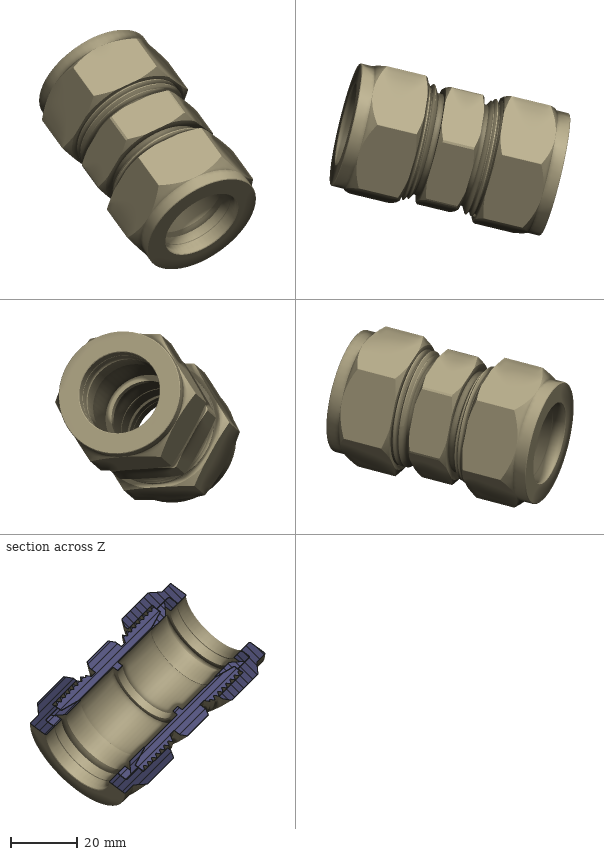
import cadquery as cq
import math

overall_length = 65.0
half_length = overall_length / 2

tube_bore_radius = 12.55
body_bore_radius = 12.75
through_radius = 10.9
stop_half_thickness = 1.2

body_hex_flats = 35.0
body_hex_corner_radius = 20.0
body_hex_half_width = 6.05
body_hex_face_radius = 18.0
hex_chamfer_angle = 30.0

neck_radius = 15.7
neck_end = 7.8
crest_radius = 18.05
pitch = 1.88
thread_depth = 0.65 * pitch
crest_flat = pitch / 8
flank_angle = 30.0
top_crest_x = 9.64
thread_chamfer_angle = 30.0
lead_turns = 1.5
segment_turns = 1.5
groove_overshoot = 0.1

nut_flats = 38.0
nut_corner_radius = 21.9
nut_inner_end = 11.85
nut_face_radius = 19.4
collar_radius = 18.97
collar_length = 4.0
end_chamfer = 0.2

ferrule_radius = 16.0
back_ferrule_rear = 28.4
back_ferrule_nose = 25.1
back_ferrule_chamfer = 0.3
front_ferrule_rear = 26.1
front_recess_end = 23.0
body_end = 23.0
seat_mouth_radius = 14.6
front_ferrule_nose = 16.3

recess_mouth_radius = tube_bore_radius + front_ferrule_rear - front_recess_end
back_nose_radius = tube_bore_radius + back_ferrule_nose - front_recess_end


def revolve_about_x(points):
    """Solid of revolution from (x, radius) points."""
    return cq.Workplane("XY").polyline(points).close().revolve(360, (0, 0, 0), (1, 0, 0))


def hex_bar(flats, start, end):
    """Hexagonal bar along X with flats on top and bottom and corners along Y."""
    corner_diameter = flats / math.cos(math.pi / 6)
    return cq.Workplane("YZ").workplane(offset=start).polygon(6, corner_diameter).extrude(end - start)


def on_both_sides(right_side):
    """The +X side piece and its copy turned half a turn about Z."""
    return [right_side, right_side.rotate((0, 0, 0), (0, 0, 1), 180)]


def make_groove_segments():
    """Right-handed thread groove on the +X side, in lengths that follow one another past the body end.

    The first length starts at the top of the fitting, inside the neck's air space.
    """
    slope = math.tan(math.radians(flank_angle))
    crest_half_width = (pitch - crest_flat) / 2
    root_half_width = crest_half_width - thread_depth * slope
    mouth_half_width = crest_half_width + groove_overshoot * slope
    root_radius = crest_radius - thread_depth
    mouth_radius = crest_radius + groove_overshoot
    start = top_crest_x - lead_turns * pitch
    segment_length = segment_turns * pitch
    segment_count = math.ceil((body_end + pitch - start) / segment_length)

    path = cq.Workplane(cq.Wire.makeHelix(pitch, segment_length, root_radius))
    segment = (
        cq.Workplane("XZ")
        .polyline([
            (root_radius, -root_half_width),
            (mouth_radius, -mouth_half_width),
            (mouth_radius, mouth_half_width),
            (root_radius, root_half_width),
        ])
        .close()
        .sweep(path, isFrenet=True)
        .rotate((0, 0, 0), (0, 0, 1), 180)
        .rotate((0, 0, 0), (0, 1, 0), 90)
    )
    return [
        segment.rotate((0, 0, 0), (1, 0, 0), 360 * segment_turns * index)
        .translate((start + index * segment_length, 0, 0))
        for index in range(segment_count)
    ]


def make_body_hex():
    """Central hexagon with its corners turned down and both faces chamfered."""
    chamfer_depth = body_hex_corner_radius - body_hex_face_radius
    chamfer_length = chamfer_depth * math.tan(math.radians(hex_chamfer_angle))
    full_end = body_hex_half_width - chamfer_length
    turned = revolve_about_x([
        (-body_hex_half_width, 0),
        (-body_hex_half_width, body_hex_face_radius),
        (-full_end, body_hex_corner_radius),
        (full_end, body_hex_corner_radius),
        (body_hex_half_width, body_hex_face_radius),
        (body_hex_half_width, 0),
    ])
    return hex_bar(body_hex_flats, -body_hex_half_width, body_hex_half_width).intersect(turned)


def make_body():
    """Central hexagon joined to two threaded barrels, each with a tube socket and a conical seat."""
    chamfer_length = (crest_radius - neck_radius) * math.tan(math.radians(thread_chamfer_angle))
    half_barrel = revolve_about_x([
        (0, through_radius),
        (0, neck_radius),
        (neck_end, neck_radius),
        (neck_end + chamfer_length, crest_radius),
        (body_end, crest_radius),
        (body_end, seat_mouth_radius),
        (front_ferrule_nose, body_bore_radius),
        (stop_half_thickness, body_bore_radius),
        (stop_half_thickness, through_radius),
    ])
    for groove in make_groove_segments():
        half_barrel = half_barrel.cut(groove)
    right, left = on_both_sides(half_barrel)
    bore = cq.Workplane("YZ").circle(through_radius).extrude(half_length, both=True)
    socket = cq.Workplane("YZ").circle(body_bore_radius).extrude(half_length)
    hex_ring = make_body_hex().cut(bore)
    for tube_socket in on_both_sides(socket.translate((stop_half_thickness, 0, 0))):
        hex_ring = hex_ring.cut(tube_socket)
    return hex_ring.union(right).union(left)


def make_nut():
    """Nut on the +X side."""
    collar_start = half_length - collar_length
    inner_chamfer = (nut_corner_radius - nut_face_radius) * math.tan(math.radians(hex_chamfer_angle))
    outer_chamfer = nut_corner_radius - collar_radius
    turned = revolve_about_x([
        (nut_inner_end, 0),
        (nut_inner_end, nut_face_radius),
        (nut_inner_end + inner_chamfer, nut_corner_radius),
        (collar_start - outer_chamfer, nut_corner_radius),
        (collar_start, collar_radius),
        (collar_start, 0),
    ])
    collar = revolve_about_x([
        (collar_start, 0),
        (collar_start, collar_radius),
        (half_length - end_chamfer, collar_radius),
        (half_length, collar_radius - end_chamfer),
        (half_length, 0),
    ])
    cavity = revolve_about_x([
        (nut_inner_end, 0),
        (nut_inner_end, crest_radius),
        (body_end, crest_radius),
        (body_end, ferrule_radius),
        (back_ferrule_rear, ferrule_radius),
        (back_ferrule_rear, tube_bore_radius),
        (half_length - end_chamfer, tube_bore_radius),
        (half_length, tube_bore_radius + end_chamfer),
        (half_length, 0),
    ])
    return hex_bar(nut_flats, nut_inner_end, collar_start).intersect(turned).union(collar).cut(cavity)


def make_front_ferrule():
    """Front ferrule on the +X side: a flange and a cone seated in the mouth of the body."""
    return revolve_about_x([
        (front_ferrule_nose, tube_bore_radius),
        (front_ferrule_nose, body_bore_radius),
        (body_end, seat_mouth_radius),
        (body_end, ferrule_radius),
        (front_ferrule_rear, ferrule_radius),
        (front_ferrule_rear, recess_mouth_radius),
        (front_recess_end, tube_bore_radius),
    ])


def make_back_ferrule():
    """Back ferrule on the +X side: a flange with a nose in the recess of the front ferrule."""
    return revolve_about_x([
        (back_ferrule_nose, tube_bore_radius),
        (back_ferrule_nose, back_nose_radius),
        (front_ferrule_rear, recess_mouth_radius),
        (front_ferrule_rear, ferrule_radius),
        (back_ferrule_rear, ferrule_radius),
        (back_ferrule_rear, tube_bore_radius + back_ferrule_chamfer),
        (back_ferrule_rear - back_ferrule_chamfer, tube_bore_radius),
    ])


body = make_body()
nuts = on_both_sides(make_nut())
front_ferrules = on_both_sides(make_front_ferrule())
back_ferrules = on_both_sides(make_back_ferrule())

result = cq.Compound.makeCompound([
    body.val(),
    *[nut.val() for nut in nuts],
    *[ferrule.val() for ferrule in front_ferrules],
    *[ferrule.val() for ferrule in back_ferrules],
])